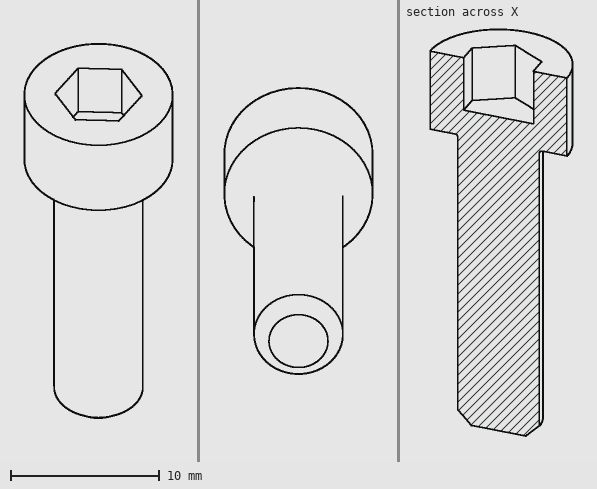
import cadquery as cq
import math

total_length = 28.0
head_diameter = 10.0
shank_diameter = 6.0
head_height = shank_diameter
shank_length = total_length - head_height
tip_chamfer = 1.0
neck_fillet = 0.17

socket_width = 5.07
socket_depth = 4.0


def make_shank():
    shank = cq.Workplane("XY").circle(shank_diameter / 2).extrude(shank_length)
    return shank.faces("<Z").chamfer(tip_chamfer)


def make_head():
    base = cq.Workplane("XY").workplane(offset=shank_length)
    return base.circle(head_diameter / 2).extrude(head_height)


def make_socket():
    """Hexagonal cutter with two corners on the X axis."""
    across_corners = socket_width / math.cos(math.radians(30))
    top = cq.Workplane("XY").workplane(offset=total_length)
    return top.polygon(6, across_corners).extrude(-socket_depth)


screw = make_shank().union(make_head())

shank_circles = cq.selectors.RadiusNthSelector(1)
screw = screw.edges(shank_circles).edges(">Z").fillet(neck_fillet)

result = screw.cut(make_socket())